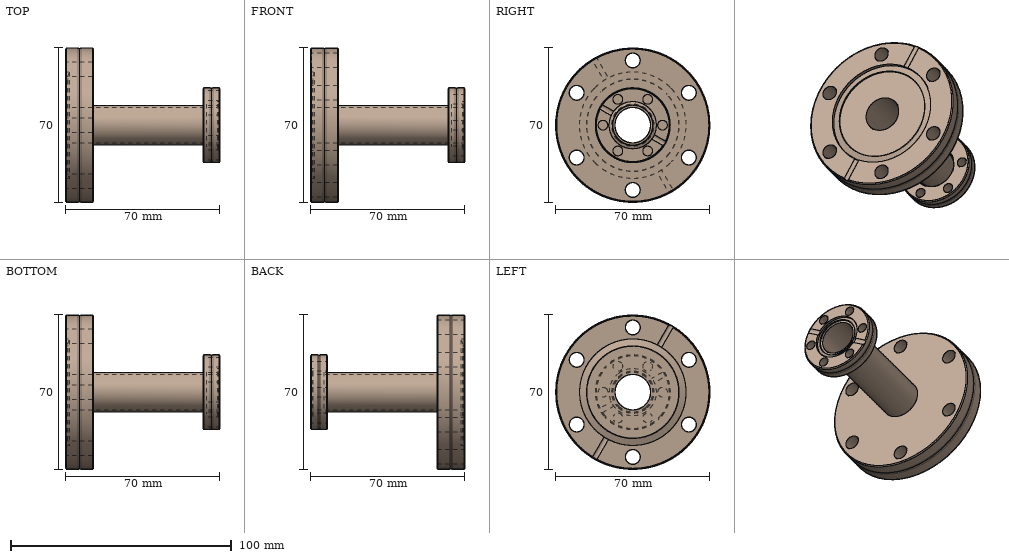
import cadquery as cq

total_length = 70.0
tube_diameter = 18.0
bore_diameter = 16.0

relief_diameter = 19.2
relief_depth = 1.5

bolt_count = 6
edge_chamfer = 0.5
rim_groove_half_width = 0.75
rim_groove_depth = 0.2
leak_groove_width = 2.3
leak_groove_depth = 0.5
knife_depth = 0.6
knife_inner_offset = 0.15
seat_depth = 1.1

large_flange = {
    "diameter": 70.0,
    "thickness": 12.7,
    "bolt_circle": 58.7,
    "bolt_hole": 6.6,
    "bolt_angle": 30.0,
    "recess_diameter": 48.3,
    "recess_depth": 1.8,
    "knife_diameter": 42.0,
    "leak_groove_angle": 60.0,
}

small_flange = {
    "diameter": 34.0,
    "thickness": 7.7,
    "bolt_circle": 27.0,
    "bolt_hole": 4.4,
    "bolt_angle": 0.0,
    "recess_diameter": 21.4,
    "recess_depth": 1.2,
    "knife_diameter": 18.4,
    "leak_groove_angle": 30.0,
}


def axial_cylinder(diameter, start, length):
    """Cylinder along +X that starts at the given X."""
    return cq.Workplane("YZ", origin=(start, 0, 0)).circle(diameter / 2).extrude(length)


def flange_body(flange):
    """Revolved flange, its sealing face at X = 0 with the recess and knife edge cut into it."""
    radius = flange["diameter"] / 2
    thickness = flange["thickness"]
    middle = thickness / 2
    recess_radius = flange["recess_diameter"] / 2
    knife_radius = flange["knife_diameter"] / 2
    profile = [
        (seat_depth, 0),
        (seat_depth, knife_radius - knife_inner_offset),
        (knife_depth, knife_radius),
        (flange["recess_depth"], recess_radius),
        (0, recess_radius),
        (0, radius - edge_chamfer),
        (edge_chamfer, radius),
        (middle - rim_groove_half_width, radius),
        (middle, radius - rim_groove_depth),
        (middle + rim_groove_half_width, radius),
        (thickness - edge_chamfer, radius),
        (thickness, radius - edge_chamfer),
        (thickness, 0),
    ]
    return cq.Workplane("XY").polyline(profile).close().revolve(360, (0, 0, 0), (1, 0, 0))


def bolt_holes(flange):
    """Through holes evenly spaced on the bolt circle."""
    return (
        cq.Workplane("YZ")
        .polarArray(flange["bolt_circle"] / 2, flange["bolt_angle"], 360, bolt_count)
        .circle(flange["bolt_hole"] / 2)
        .extrude(flange["thickness"])
    )


def leak_grooves(flange):
    """Two opposite round-bottomed grooves from the recess out through the rim of the sealing face."""
    half_width = leak_groove_width / 2
    cutter_radius = (half_width**2 + leak_groove_depth**2) / (2 * leak_groove_depth)
    cutter = (
        cq.Workplane("XZ", origin=(0, flange["diameter"] / 2, 0))
        .center(leak_groove_depth - cutter_radius, 0)
        .circle(cutter_radius)
        .extrude(flange["diameter"])
    )
    seal_area = axial_cylinder(flange["recess_diameter"], -2 * cutter_radius, 4 * cutter_radius)
    return cutter.cut(seal_area).rotate((0, 0, 0), (1, 0, 0), -flange["leak_groove_angle"])


def make_flange(flange):
    """Complete flange with its sealing face at X = 0."""
    return flange_body(flange).cut(bolt_holes(flange)).cut(leak_grooves(flange))


def make_tube():
    """Solid tube body spanning the gap between the backs of the flanges."""
    start = large_flange["thickness"]
    return axial_cylinder(tube_diameter, start, total_length - start - small_flange["thickness"])


def tube_relief():
    """Ring-shaped pocket around the tube where it meets the small flange."""
    start = total_length - small_flange["thickness"]
    outer = axial_cylinder(relief_diameter, start, relief_depth)
    return outer.cut(axial_cylinder(tube_diameter, start, relief_depth))


large_end = make_flange(large_flange)
small_end = make_flange(small_flange).mirror("YZ").translate((total_length, 0, 0))
bore = axial_cylinder(bore_diameter, 0, total_length)

result = large_end.union(make_tube()).union(small_end).cut(tube_relief()).cut(bore)